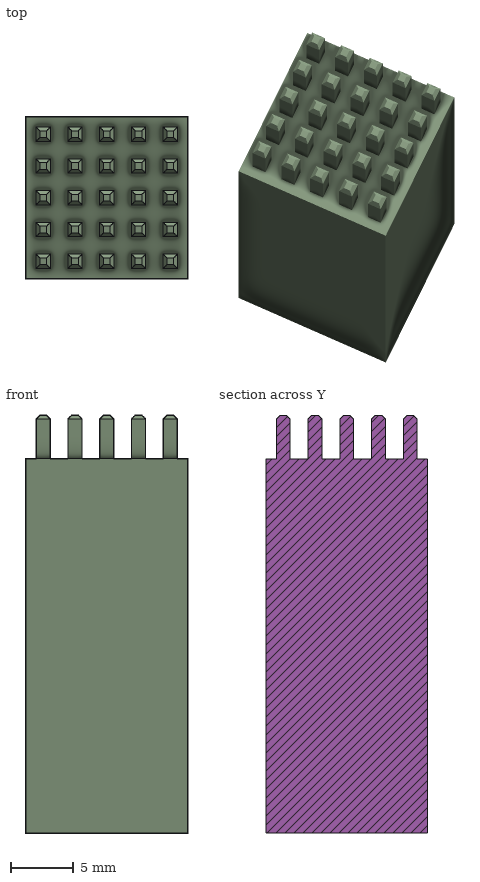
import cadquery as cq

overall_height = 33.5
block_width = 13.0

pins_per_side = 5
pin_pitch = 2.55
pin_width = 1.15
pin_height = 3.5
tip_chamfer = 0.3

block_height = overall_height - pin_height


def make_block():
    """Plain square block, centred in X and Y, with its base at Z = 0."""
    return cq.Workplane("XY").box(
        block_width, block_width, block_height, centered=(True, True, False)
    )


def make_pin():
    """One square pin with a bevelled tip, standing on the block's top face."""
    pin = (
        cq.Workplane("XY")
        .workplane(offset=block_height)
        .rect(pin_width, pin_width)
        .extrude(pin_height)
    )
    return pin.faces(">Z").chamfer(tip_chamfer)


def add_pins(body):
    """Join the pin grid, centred on the block, to the body."""
    pin = make_pin()
    first_pin = -pin_pitch * (pins_per_side - 1) / 2
    for column in range(pins_per_side):
        for row in range(pins_per_side):
            x = first_pin + column * pin_pitch
            y = first_pin + row * pin_pitch
            body = body.union(pin.translate((x, y, 0)))
    return body


result = add_pins(make_block())